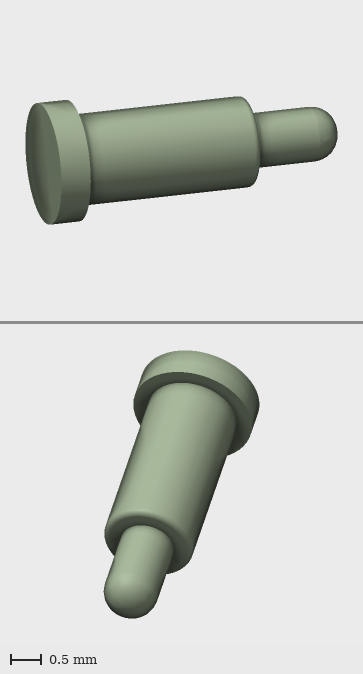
import cadquery as cq

total_length = 5.0
flange_diameter = 2.0
flange_thickness = 0.5
barrel_diameter = 1.5
barrel_length = 3.0
barrel_edge_radius = 0.1
plunger_diameter = 0.9
tip_edge_radius = 0.41

plunger_length = total_length - flange_thickness - barrel_length


def cylinder_along_y(diameter, length, start):
    """Solid cylinder running toward +Y from the given start position."""
    base_plane = cq.Workplane("XZ", origin=(0, start, 0))
    return base_plane.circle(diameter / 2).extrude(-length)


flange = cylinder_along_y(flange_diameter, flange_thickness, 0)

barrel = cylinder_along_y(barrel_diameter, barrel_length, flange_thickness)
barrel = barrel.faces(">Y").edges().fillet(barrel_edge_radius)

plunger = cylinder_along_y(plunger_diameter, plunger_length, flange_thickness + barrel_length)
plunger = plunger.faces(">Y").edges().fillet(tip_edge_radius)

result = flange.union(barrel).union(plunger)